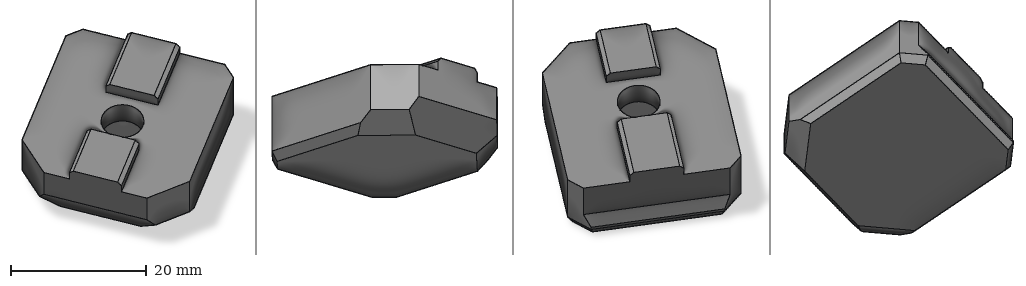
import cadquery as cq
import math

WIDTH = 26.0
LENGTH = 29.0
TOTAL_HEIGHT = 12.0
RIB_HEIGHT = 2.0
BODY_HEIGHT = TOTAL_HEIGHT - RIB_HEIGHT

FRONT_CORNER = 5.02
BACK_CORNER = 3.0

BEVEL_SLOPE = 2.0
SMALL_BEVEL = 0.75
FRONT_BEVEL = FRONT_CORNER / 2
FRONT_CORNER_BEVEL = 3.02
FRONT_CORNER_SLOPE = 1.0

LIP_DEPTH = 1.0
LIP_EDGE_TOP = 2.0

RIB_WIDTH = 8.1
RIB_CHAMFER = 0.6
FRONT_RIB_LENGTH = 8.5
BACK_RIB_LENGTH = 10.5

HOLE_DIAMETER = 6.3
HOLE_DEPTH = 3.75
HOLE_FROM_FRONT = 13.0

HALF_WIDTH = WIDTH / 2
FRONT = -LENGTH / 2
BACK = LENGTH / 2
UPPER_BACK = BACK - LIP_DEPTH


def make_body():
    """Side profile across the full width, trimmed to the eight-sided plan."""
    profile = (
        cq.Workplane("YZ")
        .moveTo(FRONT + FRONT_BEVEL, 0)
        .lineTo(BACK - SMALL_BEVEL, 0)
        .lineTo(BACK, SMALL_BEVEL * BEVEL_SLOPE)
        .lineTo(BACK, LIP_EDGE_TOP)
        .lineTo(UPPER_BACK, LIP_EDGE_TOP + LIP_DEPTH * BEVEL_SLOPE)
        .lineTo(UPPER_BACK, BODY_HEIGHT)
        .lineTo(FRONT, BODY_HEIGHT)
        .lineTo(FRONT, FRONT_BEVEL * BEVEL_SLOPE)
        .close()
        .extrude(HALF_WIDTH, both=True)
    )
    plan = cq.Workplane("XY").rect(WIDTH, LENGTH).extrude(BODY_HEIGHT)
    plan = plan.edges("|Z and <Y").chamfer(FRONT_CORNER)
    plan = plan.edges("|Z and >Y").chamfer(BACK_CORNER)
    return profile.intersect(plan)


def bevel_cutter(x, y, outward_angle, run, slope):
    """Wedge under a vertical face through (x, y) that faces outward_angle."""
    angle = math.radians(outward_angle)
    plane = cq.Plane(
        origin=(x, y, 0),
        xDir=(math.cos(angle), math.sin(angle), 0),
        normal=(math.sin(angle), -math.cos(angle), 0),
    )
    return (
        cq.Workplane(plane)
        .polyline([(-run, 0), (run, 0), (run, 2 * run * slope)])
        .close()
        .extrude(LENGTH, both=True)
    )


def make_rib(y_start, length):
    """Rib running along Y with its two long top edges chamfered."""
    return (
        cq.Workplane("XY")
        .box(RIB_WIDTH, length, RIB_HEIGHT, centered=(True, False, False))
        .edges("|Y and >Z")
        .chamfer(RIB_CHAMFER)
        .translate((0, y_start, BODY_HEIGHT))
    )


result = make_body()

for x, y, outward_angle, run, slope in [
    (HALF_WIDTH, 0, 0, SMALL_BEVEL, BEVEL_SLOPE),
    (HALF_WIDTH, BACK - BACK_CORNER, 45, SMALL_BEVEL, BEVEL_SLOPE),
    (HALF_WIDTH, FRONT + FRONT_CORNER, -45, FRONT_CORNER_BEVEL, FRONT_CORNER_SLOPE),
]:
    result = result.cut(bevel_cutter(x, y, outward_angle, run, slope))
    result = result.cut(bevel_cutter(-x, y, 180 - outward_angle, run, slope))

result = result.union(make_rib(FRONT, FRONT_RIB_LENGTH))
result = result.union(make_rib(UPPER_BACK - BACK_RIB_LENGTH, BACK_RIB_LENGTH))

hole = (
    cq.Workplane("XY", origin=(0, FRONT + HOLE_FROM_FRONT, BODY_HEIGHT))
    .circle(HOLE_DIAMETER / 2)
    .extrude(-HOLE_DEPTH)
)
result = result.cut(hole)